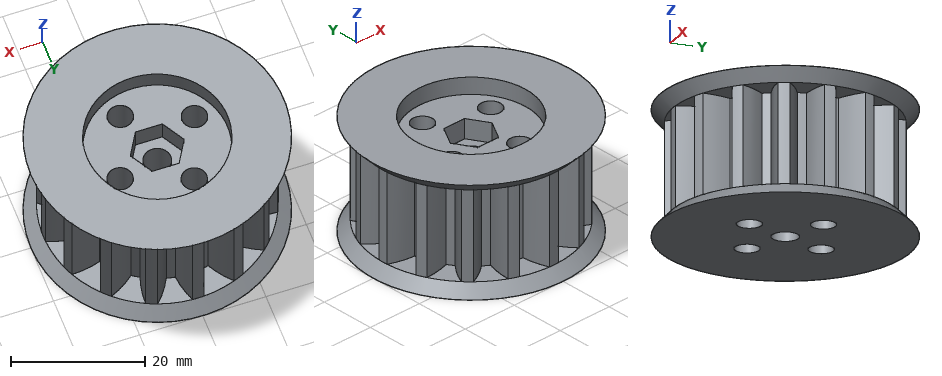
import cadquery as cq
import math

FLANGE_DIAMETER = 40.0
HEIGHT = 20.0
FLANGE_HEIGHT = 2.0
TIP_RADIUS = FLANGE_DIAMETER / 2 - FLANGE_HEIGHT

TOOTH_COUNT = 16
ROOT_RADIUS = 13.5
TIP_WIDTH = 1.8
BASE_WIDTH = 3.9
FLANK_RADIUS = 15.0

RECESS_DIAMETER = 22.2
RECESS_DEPTH = 3.0
RECESS_FLOOR = HEIGHT - RECESS_DEPTH

HEX_ACROSS_CORNERS = 8.5
HEX_DEPTH = 3.5
BORE_DIAMETER = 4.3

HOLE_COUNT = 4
HOLE_DIAMETER = 3.9
HOLE_CIRCLE_RADIUS = 7.8
HOLE_START_ANGLE = 25.0


def make_flange(bottom_radius, top_radius, base_height):
    """Conical flange between two radii."""
    return (
        cq.Workplane("XY", origin=(0, 0, base_height))
        .circle(bottom_radius)
        .workplane(offset=FLANGE_HEIGHT)
        .circle(top_radius)
        .loft(ruled=True)
    )


def make_tooth():
    """Tooth along +X with convex flanks; it starts at the axis to merge with the core."""
    half_tip = TIP_WIDTH / 2
    half_base = BASE_WIDTH / 2
    tip_x = math.sqrt(TIP_RADIUS**2 - half_tip**2)
    base_x = math.sqrt(ROOT_RADIUS**2 - half_base**2)
    return (
        cq.Workplane("XY")
        .moveTo(0, 0)
        .lineTo(base_x, -half_base)
        .radiusArc((tip_x, -half_tip), -FLANK_RADIUS)
        .threePointArc((TIP_RADIUS, 0), (tip_x, half_tip))
        .radiusArc((base_x, half_base), -FLANK_RADIUS)
        .close()
        .extrude(HEIGHT)
    )


def make_toothed_body():
    """Root cylinder, teeth and the two end flanges."""
    body = cq.Workplane("XY").circle(ROOT_RADIUS).extrude(HEIGHT)
    tooth = make_tooth()
    for index in range(TOOTH_COUNT):
        angle = index * 360 / TOOTH_COUNT
        body = body.union(tooth.rotate((0, 0, 0), (0, 0, 1), angle))
    flange_radius = FLANGE_DIAMETER / 2
    lower_flange = make_flange(flange_radius, TIP_RADIUS, 0)
    upper_flange = make_flange(TIP_RADIUS, flange_radius, HEIGHT - FLANGE_HEIGHT)
    return body.union(lower_flange).union(upper_flange)


def make_hub_cut():
    """Top recess, nut pocket, bore and ring of holes as one cutting solid."""
    recess = (
        cq.Workplane("XY", origin=(0, 0, RECESS_FLOOR))
        .circle(RECESS_DIAMETER / 2)
        .extrude(RECESS_DEPTH)
    )
    nut_pocket = (
        cq.Workplane("XY", origin=(0, 0, RECESS_FLOOR - HEX_DEPTH))
        .polygon(6, HEX_ACROSS_CORNERS)
        .extrude(HEX_DEPTH)
    )
    bore = cq.Workplane("XY").circle(BORE_DIAMETER / 2).extrude(HEIGHT)
    holes = (
        cq.Workplane("XY")
        .polarArray(HOLE_CIRCLE_RADIUS, HOLE_START_ANGLE, 360, HOLE_COUNT)
        .circle(HOLE_DIAMETER / 2)
        .extrude(HEIGHT)
    )
    return recess.union(nut_pocket).union(bore).union(holes)


result = make_toothed_body().cut(make_hub_cut())